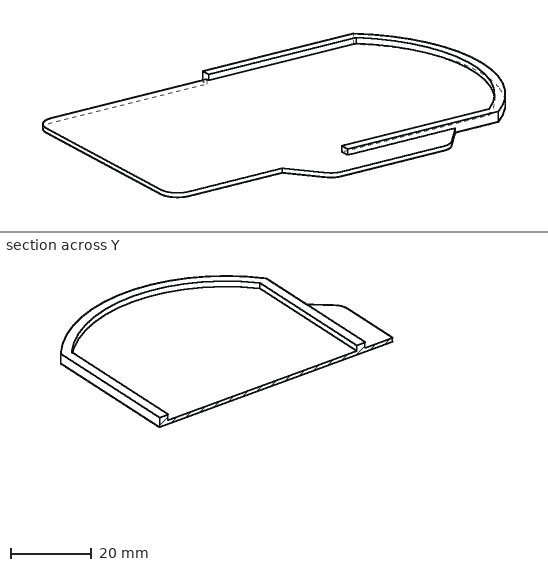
import cadquery as cq
import math

total_width = 72.5
total_length = 112.2
total_height = 2.8

rim_width = 64.0
rim_wall = 2.7
rim_length = 60.6
arc_radius = 41.1

plate_thickness = 1.2
plate_width = 60.5
plate_corner_radius = 5.0

tab_center_y = 59.3
tab_root_length = 52.3
tab_slope_angle = 40.0
tab_corner_radius = 4.5

rim_end_y = total_length - rim_length
arc_center_y = total_length - arc_radius
tab_root_x = plate_width / 2
tab_outer_x = total_width - rim_width / 2


def arched_outline(half_width, radius):
    """Closed outline with straight sides and an arched far end."""
    shoulder_y = arc_center_y + math.sqrt(radius**2 - half_width**2)
    return (
        cq.Workplane("XY")
        .moveTo(-half_width, rim_end_y)
        .lineTo(half_width, rim_end_y)
        .lineTo(half_width, shoulder_y)
        .threePointArc((0, arc_center_y + radius), (-half_width, shoulder_y))
        .close()
    )


def make_plate():
    """Rectangular lower plate with two rounded corners, meeting the arched floor."""
    return (
        cq.Workplane("XY")
        .rect(plate_width, rim_end_y)
        .extrude(plate_thickness)
        .translate((0, rim_end_y / 2, 0))
        .edges("|Z and <Y")
        .fillet(plate_corner_radius)
    )


def make_tab():
    """Trapezoidal side tab with rounded outer corners."""
    slope_run = (tab_outer_x - tab_root_x) * math.tan(math.radians(tab_slope_angle))
    root_half = tab_root_length / 2
    outer_half = root_half - slope_run
    return (
        cq.Workplane("XY")
        .moveTo(0, tab_center_y - root_half)
        .lineTo(tab_root_x, tab_center_y - root_half)
        .lineTo(tab_outer_x, tab_center_y - outer_half)
        .lineTo(tab_outer_x, tab_center_y + outer_half)
        .lineTo(tab_root_x, tab_center_y + root_half)
        .lineTo(0, tab_center_y + root_half)
        .close()
        .extrude(plate_thickness)
        .edges("|Z and >X")
        .fillet(tab_corner_radius)
    )


def make_tray():
    """Arched floor with the raised rim, open towards the plate."""
    body = arched_outline(rim_width / 2, arc_radius).extrude(total_height)
    pocket = (
        arched_outline(rim_width / 2 - rim_wall, arc_radius - rim_wall)
        .extrude(total_height - plate_thickness)
        .translate((0, 0, plate_thickness))
    )
    return body.cut(pocket)


result = make_tray().union(make_plate()).union(make_tab()).clean()